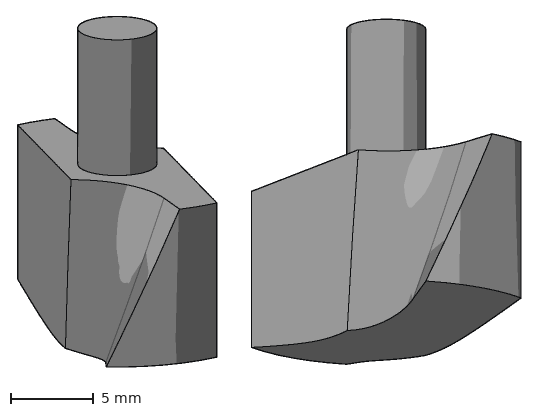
import cadquery as cq
import math

overall_height = 20.4
drill_diameter = 19.97
blade_thickness = 7.16
shank_diameter = 4.8
shoulder_height = 11.81
tip_cone_height = 2.05

flute_radius = 6.16
flute_edge_angle = 6.7
flute_tangent_x = 7.5
flute_tangent_y = 0.78
flute_reach = 12.25
flute_twist = 26.0

drill_radius = drill_diameter / 2
side_height = shoulder_height - tip_cone_height
total_twist = flute_twist * shoulder_height / side_height


def make_blade():
    """Pointed round blank trimmed to a flat blade."""
    blank = (
        cq.Workplane("XZ")
        .moveTo(0, 0)
        .lineTo(drill_radius, tip_cone_height)
        .lineTo(drill_radius, shoulder_height)
        .lineTo(0, shoulder_height)
        .close()
        .revolve(360, (0, 0, 0), (0, 1, 0))
    )
    slab = cq.Workplane("XY").box(
        drill_diameter, blade_thickness, shoulder_height, centered=(True, True, False)
    )
    return blank.intersect(slab)


def make_flute():
    """Twisted cutter: a straight face tangent to an arc, open towards -Y."""
    slope = math.radians(flute_edge_angle)
    center_x = flute_tangent_x + flute_radius * math.sin(slope)
    center_y = flute_tangent_y - flute_radius * math.cos(slope)

    def on_arc(angle):
        return (center_x + flute_radius * math.cos(angle), center_y + flute_radius * math.sin(angle))

    start_angle = math.pi / 2 + slope
    end_angle = math.pi - math.asin((-blade_thickness / 2 - center_y) / flute_radius)
    arc_end = on_arc(end_angle)
    outer_y = flute_tangent_y + (flute_reach - flute_tangent_x) * math.tan(slope)
    cutter = (
        cq.Workplane("XY")
        .moveTo(flute_reach, outer_y)
        .lineTo(flute_tangent_x, flute_tangent_y)
        .threePointArc(on_arc((start_angle + end_angle) / 2), arc_end)
        .lineTo(arc_end[0], -flute_reach)
        .lineTo(flute_reach, -flute_reach)
        .close()
        .twistExtrude(shoulder_height, total_twist)
    )
    return cutter.rotate((0, 0, 0), (0, 0, 1), -total_twist)


result = make_blade()
flute = make_flute()
for turn in (0, 180):
    result = result.cut(flute.rotate((0, 0, 0), (0, 0, 1), turn))

shank = (
    cq.Workplane("XY")
    .workplane(offset=shoulder_height)
    .circle(shank_diameter / 2)
    .extrude(overall_height - shoulder_height)
)
result = result.union(shank)